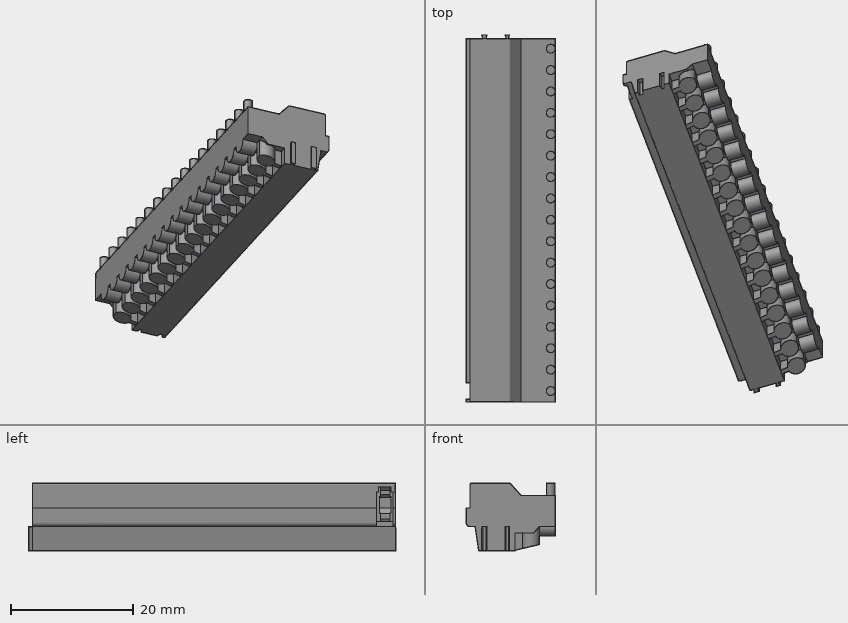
import cadquery as cq

pole_count = 17
pitch = 3.5
end_clearance = 0.1
body_length = pole_count * pitch - end_clearance
body_width = 14.6
body_height = 11.1
end_draft = 0.08

wall_x = 0.6
ledge_z = 7.05
skirt_z = 4.0
skirt_top_x = 1.45
skirt_bottom_x = 2.05
skirt_back_x = 8.0
step_z = 2.9
step_end_x = 11.0
rear_foot_x = 12.0
deck_z = 9.1
deck_start_x = 9.0
crest_end_x = 7.2

crest_fillet = 0.35
small_fillet = 0.2
ledge_lower_fillet = 0.6

pin_radius = 0.72
pin_x = 13.85

boss_radius = 1.47
boss_x = 10.62
boss_web_width = 0.8
slope_start_z = 0.1
slope_end_z = 1.05

rear_rib_radius = 1.35
rear_rib_z = 3.76

rib_centers_x = (3.0, 6.73)
rib_outer_widths = (0.9, 0.72)
rib_taper = 0.35
rib_depth = 0.6

recess_y = (0.43, 3.1)
recess_z = (4.85, 9.65)
recess_floor_x = 3.3
notch_y = (0.72, 2.75)
notch_top_z = 10.46

channel_y = (0.9, 2.45)
channel_floor_x = 3.8
channel_foot_x = 4.0
channel_foot_z = 5.2
channel_top_z = 9.93
window_y = (0.75, 2.6)
window_z = (6.25, 8.9)
window_floor_x = 4.4
lower_ramp_z = (6.13, 7.05)
upper_ramp_z = (8.71, 9.25)


def box(x_range, y_range, z_range):
    """Axis-aligned block between the given limits."""
    size = [high - low for low, high in (x_range, y_range, z_range)]
    corner = (x_range[0], y_range[0], z_range[0])
    return cq.Workplane("XY").box(*size, centered=False).translate(corner)


def prism_along_y(points, y_start, y_end):
    """XZ outline extruded from y_start to y_end."""
    plane = cq.Workplane("XZ", origin=(0, y_start, 0))
    return plane.polyline(points).close().extrude(y_start - y_end)


def fillet_long_edge(solid, x, z, radius):
    """Round the edge along Y that passes through (x, z)."""
    edge = cq.selectors.NearestToPointSelector((x, (body_length - end_draft) / 2, z))
    return solid.edges("|Y").edges(edge).fillet(radius)


def make_body():
    outline = [
        (skirt_bottom_x, 0),
        (skirt_back_x, 0),
        (skirt_back_x, step_z),
        (step_end_x, step_z),
        (rear_foot_x, skirt_z),
        (body_width, skirt_z),
        (body_width, deck_z),
        (deck_start_x, deck_z),
        (crest_end_x, body_height),
        (wall_x, body_height),
        (wall_x, ledge_z),
        (0, ledge_z),
        (0, skirt_z),
        (skirt_top_x, skirt_z),
    ]
    body = prism_along_y(outline, -end_draft, body_length)
    body = fillet_long_edge(body, crest_end_x, body_height, crest_fillet)
    body = fillet_long_edge(body, wall_x, body_height, crest_fillet)
    body = fillet_long_edge(body, 0, ledge_z, small_fillet)
    body = fillet_long_edge(body, 0, skirt_z, ledge_lower_fillet)
    body = fillet_long_edge(body, skirt_bottom_x, 0, small_fillet)
    return body.cut(make_draft_wedge())


def make_draft_wedge():
    """Wedge that slopes the -Y end, leaving it longest at the bottom."""
    corners = [(-end_draft, 0), (-end_draft, body_height), (0, body_height)]
    return cq.Workplane("YZ").polyline(corners).close().extrude(body_width)


def tapered_rib(center_x, outer_width, y_narrow, y_wide):
    """Vertical rib of trapezoidal section, as tall as the skirt."""
    half_wide = outer_width / 2
    half_narrow = half_wide - rib_taper / 2
    section = [
        (center_x - half_narrow, y_narrow),
        (center_x + half_narrow, y_narrow),
        (center_x + half_wide, y_wide),
        (center_x - half_wide, y_wide),
    ]
    return cq.Workplane("XY").polyline(section).close().extrude(skirt_z)


def make_pin(y):
    base = cq.Workplane("XY", origin=(pin_x, y, deck_z))
    return base.circle(pin_radius).extrude(body_height - deck_z)


def make_boss(y):
    """Round boss joined to the skirt by a web, with a sloping underside."""
    cylinder = cq.Workplane("XY", origin=(boss_x, y, 0)).circle(boss_radius).extrude(skirt_z)
    half_web = boss_web_width / 2
    web = box((skirt_back_x, boss_x), (y - half_web, y + half_web), (0, step_z))
    side = [
        (skirt_back_x, slope_start_z),
        (rear_foot_x, slope_end_z),
        (rear_foot_x, skirt_z),
        (step_end_x, step_z),
        (skirt_back_x, step_z),
    ]
    return cylinder.union(web).intersect(prism_along_y(side, y - boss_radius, y + boss_radius))


def make_rear_rib(y):
    """Rib along X with a half-round underside, ending flush with the +X face."""
    round_part = cq.Workplane("YZ", origin=(rear_foot_x, y, rear_rib_z)).circle(rear_rib_radius)
    flat_part = box(
        (rear_foot_x, body_width),
        (y - rear_rib_radius, y + rear_rib_radius),
        (rear_rib_z, skirt_z),
    )
    return round_part.extrude(body_width - rear_foot_x).union(flat_part)


def make_latch_pocket():
    """Recess open towards -X, breaking the ledge, with a ramped channel in its floor."""
    ledge_gap = box((0, wall_x), recess_y, (skirt_z, recess_z[1]))
    recess = box((0, recess_floor_x), recess_y, recess_z)
    notch = box((0, recess_floor_x), notch_y, (recess_z[1], notch_top_z))
    channel_profile = [
        (recess_floor_x, recess_z[0]),
        (channel_foot_x, recess_z[0]),
        (channel_floor_x, channel_foot_z),
        (channel_floor_x, lower_ramp_z[0]),
        (window_floor_x, lower_ramp_z[1]),
        (window_floor_x, upper_ramp_z[0]),
        (channel_floor_x, upper_ramp_z[1]),
        (channel_floor_x, channel_top_z),
        (recess_floor_x, notch_top_z),
    ]
    channel = prism_along_y(channel_profile, *channel_y)
    window_block = box((recess_floor_x, window_floor_x), window_y, window_z)
    window = prism_along_y(channel_profile, *window_y).intersect(window_block)
    return ledge_gap.union(recess).union(notch).union(channel).union(window)


result = make_body()

for x, width in zip(rib_centers_x, rib_outer_widths):
    result = result.union(tapered_rib(x, width, body_length, body_length + rib_depth))
    result = result.cut(tapered_rib(x, width, rib_depth, -end_draft))

for pole in range(pole_count):
    pole_y = (pole + 0.5) * pitch
    result = result.union(make_pin(pole_y)).union(make_boss(pole_y))

for gap in range(1, pole_count):
    result = result.union(make_rear_rib(gap * pitch))

result = result.cut(make_latch_pocket())